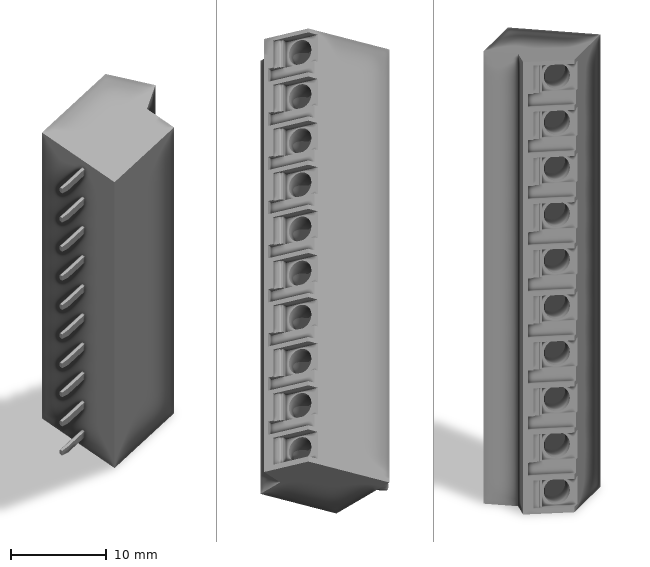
import cadquery as cq
import math

width = 10.0
height = 49.1
peak_x = 4.9
peak_y = 12.45
ledge_y = 9.53
slope_angle = 25.0
slope_tan = math.tan(math.radians(slope_angle))
slope_sin = math.sin(math.radians(slope_angle))
slope_cos = math.cos(math.radians(slope_angle))
shoulder_y = peak_y - peak_x * slope_tan

pole_count = 10
first_pin_drop = 1.75
last_pin_height = 2.3
top_pin_z = height - first_pin_drop
pitch = (top_pin_z - last_pin_height) / (pole_count - 1)

pocket_height = 3.05
pocket_top_margin = 0.45
pocket_drop = pocket_top_margin + pocket_height / 2 - first_pin_drop
deep_floor = 1.1
middle_floor = 0.4
upper_floor = 0.25
deep_wall = 3.35
middle_wall = 3.6
upper_wall = 4.3
middle_wall_draft = 34.0
middle_wall_run = (middle_floor - upper_floor) * math.tan(math.radians(middle_wall_draft))

recess_height = 1.45
recess_floor = 0.7
recess_wall = 4.9

hole_diameter = 2.75
hole_position = 1.65
hole_depth = 2.95
ramp_start = 0.85
ramp_angle = 16.0

pin_length = 3.45
pin_left_x = 5.35
pin_crown = 0.25
pin_width = 0.55
pin_height = 1.05
tip_length = 0.8
tip_width = 0.4
tip_height = 0.8

overcut = 1.45


def housing():
    notch_x = peak_x + (peak_y - ledge_y) * slope_tan
    outline = [
        (0, 0),
        (width, 0),
        (width, ledge_y),
        (notch_x, ledge_y),
        (peak_x, peak_y),
        (0, shoulder_y),
    ]
    return cq.Workplane("XY").polyline(outline).close().extrude(height)


def slope_plane(z):
    """Plane whose x runs up the slope from the shoulder and whose y points out of the slope."""
    return cq.Plane(origin=(0, shoulder_y, z), xDir=(slope_cos, slope_sin, 0), normal=(0, 0, 1))


def slope_cutter(outline, length, center_z):
    """Prism of the given length along Z, with its outline drawn on the slope plane."""
    return cq.Workplane(slope_plane(center_z - length / 2)).polyline(outline).close().extrude(length)


def pocket(center_z):
    outline = [
        (-overcut, overcut),
        (-overcut, -deep_floor),
        (deep_wall, -deep_floor),
        (deep_wall, -middle_floor),
        (middle_wall, -middle_floor),
        (middle_wall + middle_wall_run, -upper_floor),
        (upper_wall, -upper_floor),
        (upper_wall, overcut),
    ]
    return slope_cutter(outline, pocket_height, center_z)


def recess(center_z):
    outline = [
        (-overcut, overcut),
        (-overcut, -recess_floor),
        (recess_wall, -recess_floor),
        (recess_wall, overcut),
    ]
    return slope_cutter(outline, recess_height, center_z)


def wire_hole(center_z):
    floor_plane = cq.Plane(
        origin=slope_plane(center_z).toWorldCoords((hole_position, -deep_floor, 0)).toTuple(),
        xDir=(slope_cos, slope_sin, 0),
        normal=(-slope_sin, slope_cos, 0),
    )
    bore = cq.Workplane(floor_plane).circle(hole_diameter / 2).extrude(-hole_depth)
    inner_wall = hole_position + hole_diameter / 2
    ramp_top = -deep_floor - ramp_start
    ramp_bottom = -deep_floor - hole_depth
    ramp_run = (ramp_top - ramp_bottom) * math.tan(math.radians(ramp_angle))
    ramp_outline = [
        (inner_wall, ramp_top),
        (inner_wall, ramp_bottom),
        (inner_wall - ramp_run, ramp_bottom),
    ]
    return bore.cut(slope_cutter(ramp_outline, hole_diameter, center_z))


def pin(center_z):
    """Prism along -Y, trimmed at its tip by two sloped planes in height and one in width."""
    crown_x = pin_left_x + pin_crown
    right_x = pin_left_x + pin_width
    half_height = pin_height / 2
    shank_end = tip_length - pin_length
    bar = (
        cq.Workplane("XZ", origin=(0, 0, center_z))
        .moveTo(crown_x, half_height)
        .threePointArc((pin_left_x, 0), (crown_x, -half_height))
        .lineTo(right_x, -half_height)
        .lineTo(right_x, half_height)
        .close()
        .extrude(pin_length)
    )
    side_outline = [
        (0, half_height),
        (shank_end, half_height),
        (-pin_length, tip_height / 2),
        (-pin_length, -tip_height / 2),
        (shank_end, -half_height),
        (0, -half_height),
    ]
    top_outline = [
        (pin_left_x, 0),
        (pin_left_x, -pin_length),
        (pin_left_x + tip_width, -pin_length),
        (right_x, shank_end),
        (right_x, 0),
    ]
    side_envelope = (
        cq.Workplane("YZ", origin=(pin_left_x, 0, center_z))
        .polyline(side_outline).close().extrude(pin_width)
    )
    top_envelope = (
        cq.Workplane("XY", origin=(0, 0, center_z - half_height))
        .polyline(top_outline).close().extrude(pin_height)
    )
    return bar.intersect(side_envelope).intersect(top_envelope)


result = housing()
for index in range(pole_count):
    pin_z = top_pin_z - index * pitch
    pocket_z = pin_z - pocket_drop
    result = result.cut(pocket(pocket_z)).cut(wire_hole(pocket_z)).union(pin(pin_z))
    if index < pole_count - 1:
        recess_z = pocket_z - (pocket_height + recess_height) / 2
        result = result.cut(recess(recess_z))